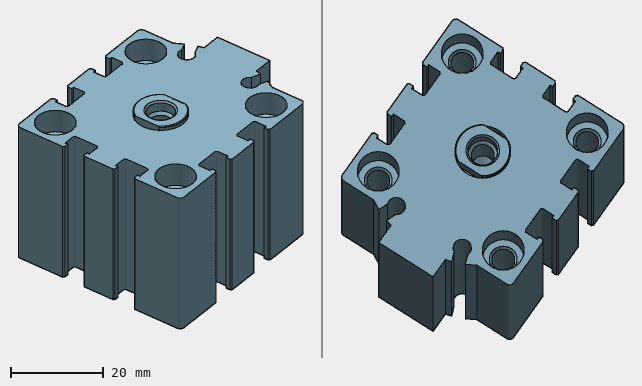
import cadquery as cq
import math

SIDE = 44.5
LENGTH = 52.0
HEIGHT = 35.0
CORNER_RADIUS = 1.05

TONGUE_WIDTH = 14.15
TONGUE_ROOT_Y = 24.95
SHOULDER_START_X = 13.4
SHOULDER_PEAK = (9.9, 24.25)

SENSOR_CENTRE = (8.6, 20.7)
SENSOR_DIAMETER = 3.9
SENSOR_NECK_WIDTH = 3.0
SENSOR_TILT = 21.0
SENSOR_NECK_LENGTH = 6.25

SLOT_PITCH = 13.6
SLOT_OPENING = 5.2
SLOT_INNER_WIDTH = 6.55
SLOT_DEPTH = 4.65
SLOT_LIP = 1.4
SLOT_FLOOR_RADIUS = 0.5
SLOT_LIP_RADIUS = 0.3
SLOT_SIDES = (-90.0, 0.0, 90.0)

BOLT_PITCH = 32.5
BOLT_DIAMETER = 4.95
BOLT_CHAMFER = 0.5
COUNTERBORE_DIAMETER = 9.0
COUNTERBORE_DEPTH = 5.7

ROD_DIAMETER = 12.0
ROD_PROTRUSION = 1.0
ROD_EDGE_CHAMFER = 0.2
FLAT_SPACING = 10.0
FLAT_LENGTH = 3.0

BORE_DIAMETER = 6.4
BORE_CHAMFER = 0.4
BORE_DEPTH = 2.6
TAPER_LENGTH = 0.55
TAP_DIAMETER = 4.95
TAP_DEPTH = 10.4
DRILL_POINT_ANGLE = 118.0

HALF_SIDE = SIDE / 2
ROD_TOP = HEIGHT + ROD_PROTRUSION


def block():
    """Square block with the tongue and its two sloping shoulders."""
    tongue_tip_y = LENGTH - HALF_SIDE
    right_side = [
        (HALF_SIDE, -HALF_SIDE),
        (HALF_SIDE, HALF_SIDE),
        (SHOULDER_START_X, HALF_SIDE),
        SHOULDER_PEAK,
        (TONGUE_WIDTH / 2, TONGUE_ROOT_Y),
        (TONGUE_WIDTH / 2, tongue_tip_y),
    ]
    left_side = [(-x, y) for x, y in reversed(right_side)]
    body = cq.Workplane("XY").polyline(right_side + left_side).close().extrude(HEIGHT)
    corner_edges = body.edges("|Z").edges("<X or >X")
    return corner_edges.fillet(CORNER_RADIUS)


def sensor_slot():
    """Cutter for the sensor slot on the +X side: a round channel with a narrower neck."""
    channel = cq.Workplane("XY").circle(SENSOR_DIAMETER / 2).extrude(HEIGHT)
    neck = (
        cq.Workplane("XY")
        .center(0, SENSOR_NECK_LENGTH / 2)
        .rect(SENSOR_NECK_WIDTH, SENSOR_NECK_LENGTH)
        .extrude(HEIGHT)
    )
    return channel.union(neck).rotate((0, 0, 0), (0, 0, 1), -SENSOR_TILT).translate(SENSOR_CENTRE + (0,))


def t_slot(x):
    """Cutter for one T-slot in the -Y side, with rounded floor corners and rounded lips."""
    half_opening = SLOT_OPENING / 2
    cavity = (
        cq.Workplane("XY")
        .center(x, -HALF_SIDE + (SLOT_LIP + SLOT_DEPTH) / 2)
        .rect(SLOT_INNER_WIDTH, SLOT_DEPTH - SLOT_LIP)
        .extrude(HEIGHT)
        .edges("|Z and >Y")
        .fillet(SLOT_FLOOR_RADIUS)
    )
    mouth = (
        cq.Workplane("XY", origin=(x, -HALF_SIDE, 0))
        .moveTo(-half_opening, SLOT_LIP)
        .lineTo(-half_opening, SLOT_LIP_RADIUS)
        .radiusArc((-half_opening - SLOT_LIP_RADIUS, 0), -SLOT_LIP_RADIUS)
        .lineTo(half_opening + SLOT_LIP_RADIUS, 0)
        .radiusArc((half_opening, SLOT_LIP_RADIUS), -SLOT_LIP_RADIUS)
        .lineTo(half_opening, SLOT_LIP)
        .close()
        .extrude(HEIGHT)
    )
    return cavity.union(mouth)


def drill_bolt_holes(body):
    """Through holes in the corners, counterbored from the top and chamfered at the counterbore floor."""
    floor = HEIGHT - COUNTERBORE_DEPTH
    profile = [
        (0, 0),
        (BOLT_DIAMETER / 2, 0),
        (BOLT_DIAMETER / 2, floor - BOLT_CHAMFER),
        (BOLT_DIAMETER / 2 + BOLT_CHAMFER, floor),
        (COUNTERBORE_DIAMETER / 2, floor),
        (COUNTERBORE_DIAMETER / 2, HEIGHT),
        (0, HEIGHT),
    ]
    cutter = cq.Workplane("XZ").polyline(profile).close().revolve(360, (0, 0), (0, 1))
    for x in (-BOLT_PITCH / 2, BOLT_PITCH / 2):
        for y in (-BOLT_PITCH / 2, BOLT_PITCH / 2):
            body = body.cut(cutter.translate((x, y, 0)))
    return body


def make_housing():
    body = block()
    right_sensor_slot = sensor_slot()
    body = body.cut(right_sensor_slot).cut(right_sensor_slot.mirror("YZ"))
    for angle in SLOT_SIDES:
        for x in (-SLOT_PITCH / 2, SLOT_PITCH / 2):
            body = body.cut(t_slot(x).rotate((0, 0, 0), (0, 0, 1), angle))
    body = drill_bolt_holes(body)
    rod_hole = cq.Workplane("XY").circle(ROD_DIAMETER / 2).extrude(HEIGHT)
    return body.cut(rod_hole)


def rod_end_hole():
    """Cutter for the chamfered, stepped hole in the rod end, with its drill point."""
    bore_radius = BORE_DIAMETER / 2
    tap_radius = TAP_DIAMETER / 2
    point_length = tap_radius / math.tan(math.radians(DRILL_POINT_ANGLE / 2))
    profile = [
        (0, ROD_TOP),
        (bore_radius + BORE_CHAMFER, ROD_TOP),
        (bore_radius, ROD_TOP - BORE_CHAMFER),
        (bore_radius, ROD_TOP - BORE_DEPTH),
        (tap_radius, ROD_TOP - BORE_DEPTH - TAPER_LENGTH),
        (tap_radius, ROD_TOP - TAP_DEPTH),
        (0, ROD_TOP - TAP_DEPTH - point_length),
    ]
    return cq.Workplane("XZ").polyline(profile).close().revolve(360, (0, 0), (0, 1))


def make_rod():
    """Round rod filling its hole, with two wrench flats at the top facing -Y and +Y."""
    rod = cq.Workplane("XY").circle(ROD_DIAMETER / 2).extrude(ROD_TOP)
    rod = rod.faces(">Z").edges().chamfer(ROD_EDGE_CHAMFER)
    flat_cutter = (
        cq.Workplane("XY", origin=(0, 0, ROD_TOP - FLAT_LENGTH))
        .rect(2 * ROD_DIAMETER, 2 * ROD_DIAMETER)
        .rect(2 * ROD_DIAMETER, FLAT_SPACING)
        .extrude(FLAT_LENGTH)
    )
    return rod.cut(flat_cutter).cut(rod_end_hole())


housing = make_housing()
rod = make_rod()
result = cq.Compound.makeCompound([housing.val(), rod.val()])